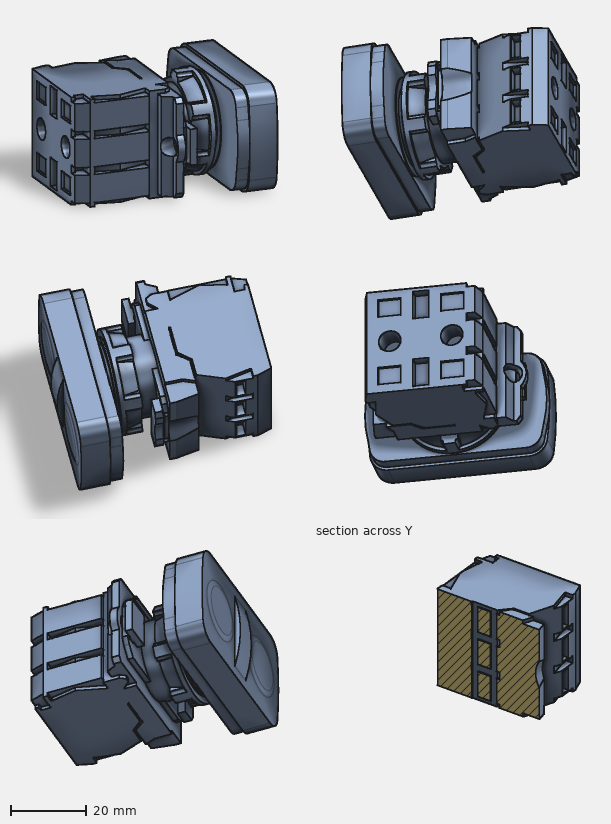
import cadquery as cq
import math


stack_height = 30.0
half_height = stack_height / 2
skin = 1.05
core_half_height = half_height - skin
module_pitch = stack_height / 3
joint_levels = (-half_height, -half_height + module_pitch, half_height - module_pitch, half_height)
module_levels = (-module_pitch, 0, module_pitch)

terminal_chamfer = 3.95
base_bottom = 20.45
cover_bottom = 23.65
lug_bottom = 26.45
base_top = 28.6
ring_top = 30.2
ear_top = 32.4
nut_bottom = 34.75
flange_bottom = 39.35
flange_top = 40.8
collar_top = 41.35
bezel_bottom = 42.75
bezel_top = 46.3
head_top = 54.3
overall_length = 55.9

head_half_length = 24.75
head_half_height = 14.8
bezel_half_height = 14.0
corner_start = 19.2
strip_half_width = 3.5
strip_half_height = 11.75
button_offset = 13.2
button_diameter = 17.0
button_face_diameter = 13.65
button_rise = 0.45

neck_diameter = 22.0
collar_diameter = 25.0
gasket_diameter = 26.8
gasket_thickness = 0.2
flange_diameter = 29.0
notch_radius_top = 13.4
notch_radius_bottom = 12.2
tooth_count = 6
tooth_width = 3.3
flank_radius = 0.7
flank_level = 13.3

ring_half_height = 10.0
ear_half_height = 8.45
ear_gap = 0.3
tongue_top = 29.7

base_left = -18.6
base_foot_left = -17.45
base_taper_start = 26.85
thumb_groove_radius = 7.7
thumb_groove_bottom = -16.9
cover_left = -12.65
cover_right = 10.45
screw_hole_diameter = 5.2
screw_hole_x = 18.8
screw_hole_tilt = 30
screw_hole_reach = 4.45

module_half_length = 16.0
terminal_half_length = 14.65
shoulder_y = 10.2
module_top_left = -11.9
catch_x = 15.25
catch_y = 21.25
slot_gap = 0.45
side_gap = 0.55
terminal_hole_diameter = 6.0
terminal_hole_offset = 8.45
terminal_hole_depth = 6.7
clamp_length, clamp_height, clamp_depth = 6.2, 5.05, 0.85
clamp_offset = 8.55
test_slot_length, test_slot_height, test_slot_depth = 4.3, 8.0, 3.0
side_pocket_bottom, side_pocket_top = 7.3, 9.85
side_pocket_height = 6.8
side_pocket_depth = 3.35


def prism(points, half_thickness):
    """Straight-sided XY outline, extruded both ways along Z."""
    return cq.Workplane("XY").polyline(points).close().extrude(half_thickness, both=True)


def box(x0, x1, y0, y1, z0, z1):
    return cq.Workplane("XY").box(x1 - x0, y1 - y0, z1 - z0, centered=False).translate((x0, y0, z0))


def disc(diameter, y0, y1, x=0):
    """Round body along Y."""
    return cq.Workplane("XZ", origin=(x, y0, 0)).circle(diameter / 2).extrude(y0 - y1)


def xz_plane(y):
    return cq.Workplane("XZ", origin=(0, y, 0))


def below(point):
    """Mirror image of an XZ point under Z = 0."""
    return (point[0], -point[1])


def panel(y0, y1, panel_half_height, corner_middle, corner_end, bulge_start):
    """Rounded panel with bulging ends, mirrored about X = 0."""
    outline = (
        xz_plane(y0)
        .moveTo(0, panel_half_height)
        .lineTo(corner_start, panel_half_height)
        .threePointArc(corner_middle, corner_end)
    )
    if bulge_start != corner_end:
        outline = outline.lineTo(*bulge_start)
    outline = outline.threePointArc((head_half_length, 0), below(bulge_start))
    if bulge_start != corner_end:
        outline = outline.lineTo(*below(corner_end))
    right_half = (
        outline
        .threePointArc(below(corner_middle), (corner_start, -panel_half_height))
        .lineTo(0, -panel_half_height)
        .close()
        .extrude(y0 - y1)
    )
    return right_half.union(right_half.mirror("YZ"))


def head_body():
    corner_end = (24.15, 10.35)
    return panel(bezel_top, head_top, head_half_height, (22.65, 13.4), corner_end, corner_end)


def bezel():
    return panel(bezel_bottom, bezel_top, bezel_half_height, (22.1, 12.85), (23.4, 10.2), (24.05, 6.75))


def centre_strip():
    """Bowed strip between the two buttons."""
    return (
        cq.Workplane("YZ", origin=(-strip_half_width, 0, 0))
        .moveTo(bezel_top, -strip_half_height)
        .lineTo(head_top, -strip_half_height)
        .threePointArc((overall_length, 0), (head_top, strip_half_height))
        .lineTo(bezel_top, strip_half_height)
        .close()
        .extrude(2 * strip_half_width)
    )


def button(x):
    """Round button standing slightly proud, with a broad bevelled rim."""
    rim = button_diameter / 2
    return (
        cq.Workplane("XY")
        .polyline([(0, bezel_top), (rim, bezel_top), (rim, head_top),
                   (button_face_diameter / 2, head_top + button_rise), (0, head_top + button_rise)])
        .close()
        .revolve(360, (0, 0, 0), (0, 1, 0))
        .translate((x, 0, 0))
    )


def tooth():
    """Tooth pointing to +Z, with a hollow rounding along both flanks; its tip is left overlong."""
    half_tip = tooth_width / 2
    half_root = half_tip + flank_radius
    inset = flank_radius * math.sqrt(0.5)
    tip = flange_diameter
    return (
        xz_plane(nut_bottom)
        .moveTo(-half_root, 0)
        .lineTo(half_root, 0)
        .lineTo(half_root, flank_level)
        .threePointArc((half_root - inset, flank_level + flank_radius - inset),
                       (half_tip, flank_level + flank_radius))
        .lineTo(half_tip, tip)
        .lineTo(-half_tip, tip)
        .lineTo(-half_tip, flank_level + flank_radius)
        .threePointArc((inset - half_root, flank_level + flank_radius - inset),
                       (-half_root, flank_level))
        .close()
        .extrude(nut_bottom - flange_bottom)
    )


def nut():
    body = disc(flange_diameter, nut_bottom, flange_bottom)
    core = (
        cq.Workplane("XY")
        .polyline([(0, nut_bottom), (notch_radius_bottom, nut_bottom),
                   (notch_radius_top, flange_bottom), (0, flange_bottom)])
        .close()
        .revolve(360, (0, 0, 0), (0, 1, 0))
    )
    teeth = cq.Workplane("XY")
    for index in range(tooth_count):
        teeth = teeth.add(tooth().rotate((0, 0, 0), (0, 1, 0), index * 360 / tooth_count))
    return core.union(body.intersect(teeth.combine()))


def neck():
    return (
        disc(neck_diameter, base_top, bezel_bottom)
        .union(disc(gasket_diameter, bezel_bottom - gasket_thickness, bezel_bottom))
        .union(disc(collar_diameter, flange_top, collar_top))
        .union(disc(flange_diameter, flange_bottom, flange_top))
        .union(nut())
    )


def symmetric_plate(upper_points, y0, y1):
    """Plate whose XZ outline runs through the upper points and back through their mirror images."""
    lower_points = [below(point) for point in reversed(upper_points)]
    return xz_plane(y0).polyline(upper_points + lower_points).close().extrude(y0 - y1)


def locking_ring():
    left_end, right_end = -17.15, 19.45
    notch_x = -15.95
    tongue_half, right_half = 5.55, 5.05
    stem_start, stem_end = 15.8, 18.4
    bend_z = 7.15
    plate = symmetric_plate([
        (notch_x, 6.25), (left_end, bend_z), (-15.55, 9.15), (-13.6, ring_half_height),
        (stem_start, ring_half_height), (stem_end, bend_z), (right_end, right_half),
    ], base_top, ring_top)
    tongue = box(left_end, notch_x, base_top, tongue_top, -tongue_half, tongue_half)
    right_ear = box(13.65, 21.45, ring_top + ear_gap, ear_top, -right_half, right_half)
    right_stem = box(stem_start, stem_end, ring_top, ear_top, -right_half, right_half)
    return plate.union(tongue).union(left_ear(left_end)).union(right_ear).union(right_stem)


def left_ear(hollow_x):
    """Ear with bevelled corners and a hollow outer edge that reaches in to hollow_x."""
    inner_x, outer_x = -12.95, -18.05
    bevel_z, hollow_z = 6.65, 3.85
    body = symmetric_plate([
        (outer_x, hollow_z), (outer_x, bevel_z), (hollow_x, ear_half_height), (inner_x, ear_half_height),
    ], ring_top, ear_top)
    hollow = (
        xz_plane(ring_top)
        .moveTo(outer_x, hollow_z)
        .threePointArc((hollow_x, 0), (outer_x, -hollow_z))
        .close()
        .extrude(ring_top - ear_top)
    )
    return body.cut(hollow)


def base_core():
    lug_x, foot_right, inner_right = 19.4, 17.85, 15.05
    profile = [
        (base_left, base_top), (base_left, base_taper_start), (base_foot_left, base_bottom),
        (inner_right, base_bottom), (inner_right, cover_bottom), (foot_right, cover_bottom),
        (lug_x, lug_bottom), (lug_x, base_top),
    ]
    groove_centre = thumb_groove_bottom - thumb_groove_radius
    thumb_groove = disc(2 * thumb_groove_radius, base_bottom, base_top, groove_centre)
    return prism(profile, core_half_height).cut(thumb_groove).union(end_lug())


def end_lug():
    chamfer_x, side_x, nose_x = 20.25, 21.35, 22.8
    nose_half, side_half = 3.75, 12.5
    return (
        xz_plane(lug_bottom)
        .moveTo(cover_right, core_half_height)
        .lineTo(chamfer_x, core_half_height)
        .lineTo(side_x, side_half)
        .lineTo(side_x, nose_half)
        .threePointArc((nose_x, 0), (side_x, -nose_half))
        .lineTo(side_x, -side_half)
        .lineTo(chamfer_x, -core_half_height)
        .lineTo(cover_right, -core_half_height)
        .close()
        .extrude(lug_bottom - base_top)
    )


def screw_hole():
    """Tilted screw hole through the end lug."""
    hole = disc(screw_hole_diameter, -screw_hole_reach, screw_hole_reach)
    return hole.rotate((0, 0, 0), (0, 0, 1), screw_hole_tilt).translate((screw_hole_x, lug_bottom, 0))


def contact_core():
    return prism([
        (module_top_left, base_bottom), (-module_half_length, shoulder_y),
        (-module_half_length, terminal_chamfer),
        (-terminal_half_length, 0), (terminal_half_length, 0), (module_half_length, terminal_chamfer),
        (module_half_length, 20.9), (catch_x, catch_y), (catch_x, base_bottom),
    ], half_height)


def base_cover():
    """Outer cover of the base, ending in the hooks of the contact modules."""
    return prism([
        (cover_left, base_top), (cover_left, cover_bottom), (-14.0, base_bottom),
        (catch_x, base_bottom), (catch_x, 25.9), (14.2, 27.45), (12.8, 27.45), (cover_right, 25.1),
        (cover_right, base_top),
    ], half_height)


def joint_cut(points):
    """Cut a profile into the skins on both sides of every module joint."""
    cut = cq.Workplane("XY")
    for level in joint_levels:
        cut = cut.add(prism(points, skin).translate((0, 0, level)))
    return cut.combine()


def joint_cuts():
    overshoot = 0.55
    reach = module_half_length + overshoot
    notch_start, notch_end, notch_corner = 12.5, 5.25, 5.6
    left_notch = [(-15.05, notch_start), (-13.6, notch_corner), (-13.7, notch_end),
                  (-reach, notch_end), (-reach, notch_start)]
    right_notch = [(12.4, catch_y), (15.1, 12.9), (13.6, notch_corner), (13.7, notch_end),
                   (reach, notch_end), (reach, catch_y)]
    corner_notch = [(11.0, terminal_chamfer), (11.0, 1.25), (12.4, 1.05), (12.3, -overshoot),
                    (reach, -overshoot), (reach, terminal_chamfer)]
    gap_floor = base_bottom - side_gap
    window_floor = cover_bottom - slot_gap
    gap_left = cover_left - overshoot
    cover_gap = [(gap_left, base_bottom), (-7.25, base_bottom), (-4.8, cover_bottom), (4.15, cover_bottom),
                 (3.9, window_floor), (-4.15, window_floor), (-7.15, gap_floor), (gap_left, gap_floor)]
    cuts = joint_cut(left_notch)
    for points in (right_notch, corner_notch, cover_gap):
        cuts = cuts.union(joint_cut(points))
    return cuts


def gap_windows():
    """Openings right through the stack at both ends of the cover gap."""
    windows = cq.Workplane("XY")
    for x0, x1 in ((-4.0, -2.1), (2.1, 3.9)):
        windows = windows.add(box(x0, x1, cover_bottom - slot_gap, cover_bottom, -half_height, half_height))
    return windows.combine()


def terminal_openings():
    face = xz_plane(0)
    outer_levels = (module_levels[0], module_levels[-1])
    clamps = [(x, z) for x in (-clamp_offset, clamp_offset) for z in outer_levels]
    return (
        face.pushPoints(clamps).rect(clamp_length, clamp_height).extrude(-clamp_depth)
        .union(face.pushPoints([(0, z) for z in outer_levels])
               .rect(test_slot_length, test_slot_height).extrude(-test_slot_depth))
        .union(face.pushPoints([(-terminal_hole_offset, 0), (terminal_hole_offset, 0)])
               .circle(terminal_hole_diameter / 2).extrude(-terminal_hole_depth))
    )


def side_pockets():
    pockets = cq.Workplane("XY")
    half = side_pocket_height / 2
    for z in module_levels:
        pockets = pockets.add(box(-module_half_length, -module_half_length + side_pocket_depth,
                                  side_pocket_bottom, side_pocket_top, z - half, z + half))
    return pockets.combine()


head = head_body().union(bezel()).union(centre_strip())
for button_x in (-button_offset, button_offset):
    head = head.union(button(button_x))

contact_stack = (
    contact_core()
    .union(base_cover())
    .union(base_core())
    .cut(joint_cuts())
    .cut(gap_windows())
    .cut(terminal_openings())
    .cut(side_pockets())
    .cut(screw_hole())
)

result = contact_stack.union(locking_ring()).union(neck()).union(head)